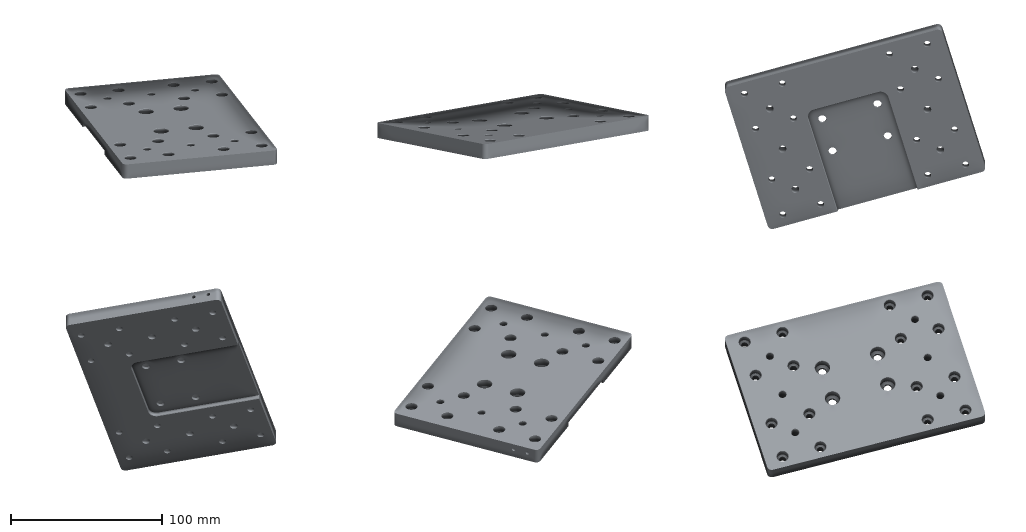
import cadquery as cq
import math

LENGTH = 150.0
WIDTH = 106.0
THICKNESS = 10.0
CORNER_RADIUS = 3.2
EDGE_BREAK = 0.22

GROUP_X = LENGTH / 3
SQUARE_Y = 32.0
SQUARE_HALF_PITCH = 13.0
SCREW_DIAMETER = 4.5
SCREW_HEAD_DIAMETER = 7.8
SCREW_HEAD_DEPTH = 4.5

PIN_DIAMETER = 5.1
PIN_CHAMFER = 0.3
PIN_PITCH = 30.0

CENTRE_X = 19.0
CENTRE_Y = 12.0
CENTRE_DIAMETER = 5.4
CENTRE_HEAD_DIAMETER = 10.0
CENTRE_HEAD_DEPTH = 5.2

RECESS_WIDTH = 55.0
RECESS_HEIGHT = 3.0
RECESS_RADIUS = 5.2
RECESS_BACK_MARGIN = 9.0
RECESS_CHAMFER = 0.3

END_HOLE_DIAMETER = 2.5
END_HOLE_DEPTH = 7.5
END_HOLE_POINT_ANGLE = 118
END_HOLE_PITCH = 10.0
END_HOLE_EDGE = 8.0
END_HOLE_DROP = 4.0


def mirrored(x, y):
    """Four points mirrored about both axes."""
    return [(sign_x * x, sign_y * y) for sign_x in (-1, 1) for sign_y in (-1, 1)]


def drill_down(plate, points, cutter):
    """Cut copies of a vertical cutter whose origin lies on the top face."""
    for x, y in points:
        plate = plate.cut(cutter.translate((x, y, THICKNESS)))
    return plate


def counterbore_cutter(diameter, head_diameter, head_depth):
    """Through hole with a flat counterbore and a broken top edge."""
    radius = diameter / 2
    head_radius = head_diameter / 2
    return (
        cq.Workplane("XZ")
        .moveTo(0, 0)
        .lineTo(head_radius + EDGE_BREAK, 0)
        .lineTo(head_radius, -EDGE_BREAK)
        .lineTo(head_radius, -head_depth)
        .lineTo(radius, -head_depth)
        .lineTo(radius, -THICKNESS)
        .lineTo(0, -THICKNESS)
        .close()
        .revolve(360, (0, 0), (0, 1))
    )


def make_plate():
    """Plate with rounded corners and its underside at Z = 0."""
    plate = cq.Workplane("XY").box(LENGTH, WIDTH, THICKNESS, centered=(True, True, False))
    return plate.edges("|Z").fillet(CORNER_RADIUS)


def cut_recess(plate):
    """Shallow underside recess with rounded back corners and a chamfered rim."""
    back = CENTRE_Y + RECESS_BACK_MARGIN
    front = -WIDTH / 2 - RECESS_RADIUS
    depth = back - front
    middle = (front + back) / 2
    outline = cq.Sketch().rect(RECESS_WIDTH, depth).vertices(">Y").fillet(RECESS_RADIUS)
    rim_outline = (
        cq.Sketch()
        .rect(RECESS_WIDTH + 2 * RECESS_CHAMFER, depth + 2 * RECESS_CHAMFER)
        .vertices(">Y")
        .fillet(RECESS_RADIUS + RECESS_CHAMFER)
    )
    base = cq.Workplane("XY", origin=(0, middle, 0))
    recess = base.placeSketch(outline).extrude(RECESS_HEIGHT)
    rim = base.placeSketch(rim_outline).extrude(RECESS_CHAMFER, taper=45)
    return plate.cut(recess).cut(rim)


def cut_screw_holes(plate):
    cutter = counterbore_cutter(SCREW_DIAMETER, SCREW_HEAD_DIAMETER, SCREW_HEAD_DEPTH)
    points = []
    for square_x, square_y in mirrored(GROUP_X, SQUARE_Y):
        for step_x, step_y in mirrored(SQUARE_HALF_PITCH, SQUARE_HALF_PITCH):
            points.append((square_x + step_x, square_y + step_y))
    return drill_down(plate, points, cutter)


def cut_centre_holes(plate):
    cutter = counterbore_cutter(CENTRE_DIAMETER, CENTRE_HEAD_DIAMETER, CENTRE_HEAD_DEPTH)
    return drill_down(plate, mirrored(CENTRE_X, CENTRE_Y), cutter)


def cut_pin_holes(plate):
    """Through holes with a small chamfer at the top."""
    points = [(side * GROUP_X, row * PIN_PITCH) for side in (-1, 1) for row in (-1, 0, 1)]
    top = plate.faces(">Z").workplane(origin=(0, 0, THICKNESS))
    return top.pushPoints(points).cskHole(PIN_DIAMETER, PIN_DIAMETER + 2 * PIN_CHAMFER, 90)


def cut_end_holes(plate):
    """Blind holes along X that end in a conical drill point."""
    radius = END_HOLE_DIAMETER / 2
    point_length = radius / math.tan(math.radians(END_HOLE_POINT_ANGLE / 2))
    drill = (
        cq.Workplane("XY")
        .lineTo(END_HOLE_DEPTH + point_length, 0)
        .lineTo(END_HOLE_DEPTH, radius)
        .lineTo(0, radius)
        .close()
        .revolve(360, (0, 0), (1, 0))
    )
    first_y = END_HOLE_EDGE - WIDTH / 2
    for y in (first_y, first_y + END_HOLE_PITCH):
        plate = plate.cut(drill.translate((-LENGTH / 2, y, THICKNESS - END_HOLE_DROP)))
    return plate


result = make_plate()
result = cut_recess(result)
result = cut_screw_holes(result)
result = cut_centre_holes(result)
result = cut_pin_holes(result)
result = cut_end_holes(result)